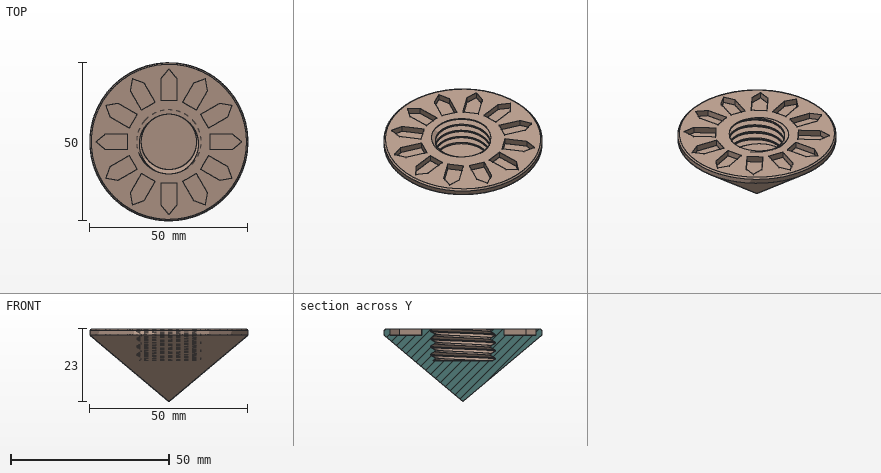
import cadquery as cq
import math

rim_diameter = 50
total_height = 23
rim_height = 2
rim_chamfer = 0.5

thread_minor_diameter = 17.5
thread_major_diameter = 20.3
thread_pitch = 2.5
thread_depth = 10
flank_half_angle = 30
root_flat = thread_pitch / 8
root_clearance = 0.25

pocket_count = 12
pocket_width = 5
pocket_inner_radius = 13
pocket_shoulder_radius = 20
pocket_tip_radius = 23
pocket_depth = 2


def make_body():
    rim_radius = rim_diameter / 2
    return (
        cq.Workplane("XZ")
        .moveTo(0, 0)
        .lineTo(rim_radius, total_height - rim_height)
        .lineTo(rim_radius, total_height - rim_chamfer)
        .lineTo(rim_radius - rim_chamfer, total_height)
        .lineTo(0, total_height)
        .close()
        .revolve(360, (0, 0), (0, 1))
    )


def make_hole(diameter):
    return (
        cq.Workplane("XY", origin=(0, 0, total_height - thread_depth))
        .circle(diameter / 2)
        .extrude(thread_depth)
    )


def make_thread_groove():
    """Right-handed groove whose centre meets the top face on the -Y side."""
    turns = math.ceil(thread_depth / thread_pitch) + 2
    start_height = total_height - (turns - 1) * thread_pitch
    root_radius = thread_major_diameter / 2
    mouth_radius = thread_minor_diameter / 2 - root_clearance
    flank_rise = (root_radius - mouth_radius) * math.tan(math.radians(flank_half_angle))
    root_half = root_flat / 2
    mouth_half = root_half + flank_rise

    path = cq.Wire.makeHelix(thread_pitch, turns * thread_pitch, root_radius)
    groove = (
        cq.Workplane("XZ")
        .polyline([
            (mouth_radius, -mouth_half),
            (root_radius, -root_half),
            (root_radius, root_half),
            (mouth_radius, mouth_half),
        ])
        .close()
        .sweep(cq.Workplane(obj=path), isFrenet=True)
        .rotate((0, 0, 0), (0, 0, 1), -90)
        .translate((0, 0, start_height))
    )
    return groove.intersect(make_hole(thread_major_diameter + 2 * root_clearance))


def make_pockets():
    half_width = pocket_width / 2
    pocket = (
        cq.Workplane("XY", origin=(0, 0, total_height - pocket_depth))
        .polyline([
            (pocket_inner_radius, -half_width),
            (pocket_shoulder_radius, -half_width),
            (pocket_tip_radius, 0),
            (pocket_shoulder_radius, half_width),
            (pocket_inner_radius, half_width),
        ])
        .close()
        .extrude(pocket_depth)
    )
    angles = [index * 360 / pocket_count for index in range(pocket_count)]
    return [pocket.rotate((0, 0, 0), (0, 0, 1), angle) for angle in angles]


result = make_body().cut(make_hole(thread_minor_diameter)).cut(make_thread_groove())
for pocket_cutter in make_pockets():
    result = result.cut(pocket_cutter)